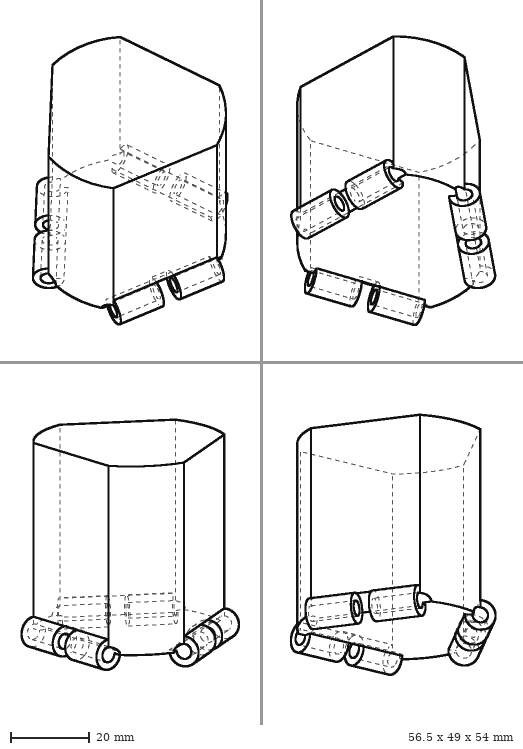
import cadquery as cq
import math

overall_width = 56.55
body_radius = 25.0
knuckle_gap = 5.0
flat_count = 3

body_height = 2 * body_radius
flat_distance = body_radius * 4 / 5
knuckle_radius = flat_distance / 5
pin_hole_radius = knuckle_radius / 2

flat_step = 360 / flat_count
outer_distance = flat_distance + knuckle_radius
half_flat = overall_width - 2 * outer_distance * math.cos(math.radians(flat_step / 4))
knuckle_length = half_flat - knuckle_gap / 2


def rod(radius, start, length):
    """Cylinder along X, centred on the lower edge of the +Y flat."""
    return cq.Workplane("YZ", origin=(start, flat_distance, 0)).circle(radius).extrude(length)


def make_flat_cutter():
    """Block covering everything outside the +Y flat."""
    block = cq.Workplane("XY").box(
        2 * body_radius, body_radius, body_height, centered=(True, False, False)
    )
    return block.translate((0, flat_distance, 0))


def make_knuckles():
    """Pair of hinge knuckles, one on each side of the central gap."""
    left = rod(knuckle_radius, -half_flat, knuckle_length)
    right = rod(knuckle_radius, knuckle_gap / 2, knuckle_length)
    return left.union(right)


def make_gap_relief():
    """Clearance in the body edge for the mating knuckle."""
    return rod(knuckle_radius, -knuckle_gap / 2, knuckle_gap)


def make_pin_hole():
    """Pin hole through both knuckles and the body edge beyond them."""
    return rod(pin_hole_radius, -body_radius, 2 * body_radius)


def on_each_flat(shape):
    """Copies of a shape made for the +Y flat, one turned to every flat."""
    return [shape.rotate((0, 0, 0), (0, 0, 1), i * flat_step) for i in range(flat_count)]


body = cq.Workplane("XY").circle(body_radius).extrude(body_height)

for cutter in on_each_flat(make_flat_cutter()):
    body = body.cut(cutter)

for knuckles in on_each_flat(make_knuckles()):
    body = body.union(knuckles)

for relief in on_each_flat(make_gap_relief()):
    body = body.cut(relief)

for pin_hole in on_each_flat(make_pin_hole()):
    body = body.cut(pin_hole)

result = body